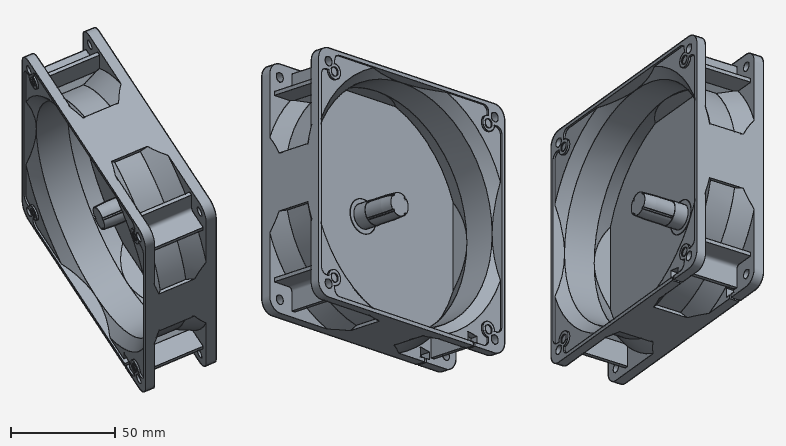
import cadquery as cq

SIDE = 127.0
DEPTH = 38.5
CORNER_RADIUS = 7.0
FRONT_Y = -DEPTH / 2
BACK_Y = DEPTH / 2
HALF_SIDE = SIDE / 2

WALL = 2.0
FRONT_FLANGE = 5.0
BACK_FLANGE = 5.5
FLOOR_Y = BACK_Y - BACK_FLANGE
FRONT_FLANGE_Y = FRONT_Y + FRONT_FLANGE

THROAT_RADIUS = HALF_SIDE - WALL
FRONT_MOUTH_RADIUS = 67.3
BACK_MOUTH_RADIUS = 65.5
THROAT_FRONT_Y = FRONT_Y + 6.6
THROAT_BACK_Y = BACK_Y - 14.8
OUTER_THROAT_RADIUS = THROAT_RADIUS + WALL
OUTER_FRONT_MOUTH_RADIUS = 72.5
OUTER_BACK_MOUTH_RADIUS = 68.0
OUTER_THROAT_FRONT_Y = FRONT_Y + 9.0
OUTER_THROAT_BACK_Y = BACK_Y - 15.6

BAND_HALF_WIDTH = 14.8

RIB_INNER = 46.5
RIB_THICKNESS = 2.0
RIB_OUTER = RIB_INNER + RIB_THICKNESS
RIB_END = 60.4
RIB_FILLET = 2.0
RIB_WEB_INNER = 40.0

MOUNT_POSITION = 56.65
MOUNT_DIAMETER = 4.7
BOSS_POSITION = 52.5
BOSS_RADIUS = 4.0
BOSS_HOLE_RADIUS = 2.3
BOSS_HOLE_DEPTH = 0.6

RECESS_DEPTH = 1.0
RECESS_HALF = THROAT_RADIUS
RECESS_CORNER_RADIUS = 3.5

CABLE_LEFT = 39.4
CABLE_RIGHT = 45.4
CABLE_TOP_LEFT = -56.6
CABLE_TOP_RIGHT = -57.7
CABLE_SLOT_LEFT = 42.1
CABLE_SLOT_WIDTH = 1.2

HUB_RADIUS = 8.8
HUB_HEIGHT = 0.2
SHAFT_RADIUS = 6.4
SHAFT_LENGTH = 24.8
SPLIT_RADIUS = 6.25
SHAFT_CORE_RADIUS = 5.3
SHAFT_TIP_RADIUS = 5.9
SPLIT_START = 7.7
TAPER_START = 18.5
SPLIT_WIDTH = 1.0
SPLIT_ANGLE = 45

SIGNS = (-1, 1)
CORNERS = [(sx, sz) for sx in SIGNS for sz in SIGNS]


def sketch_plane(y):
    """X-Z sketch plane at the given Y; extrusions run toward +Y."""
    return cq.Workplane(cq.Plane((0, y, 0), xDir=(1, 0, 0), normal=(0, 1, 0)))


def block(x0, x1, y0, y1, z0, z1):
    return cq.Workplane("XY").box(x1 - x0, y1 - y0, z1 - z0, centered=False).translate((x0, y0, z0))


def square(half, y0, y1):
    return block(-half, half, y0, y1, -half, half)


def disc(radius, y0, y1, x=0, z=0):
    return sketch_plane(y0).center(x, -z).circle(radius).extrude(y1 - y0)


def revolve_profile(points):
    """Solid of revolution about Y from (radius, y) points."""
    return cq.Workplane("XY").polyline(points).close().revolve(360, (0, 0, 0), (0, 1, 0))


def turned(shape, angle):
    """Shape rotated about the Y axis."""
    return shape.rotate((0, 0, 0), (0, 1, 0), angle)


def flared_duct(front_mouth, throat, back_mouth, throat_front_y, throat_back_y):
    """Solid round duct from the front face to the floor."""
    return revolve_profile([
        (0, FRONT_Y),
        (front_mouth, FRONT_Y),
        (throat, throat_front_y),
        (throat, throat_back_y),
        (back_mouth, FLOOR_Y),
        (0, FLOOR_Y),
    ])


def duct_shell():
    """Outside of the duct, trimmed to the gap between the flanges."""
    outside = flared_duct(
        OUTER_FRONT_MOUTH_RADIUS,
        OUTER_THROAT_RADIUS,
        OUTER_BACK_MOUTH_RADIUS,
        OUTER_THROAT_FRONT_Y,
        OUTER_THROAT_BACK_Y,
    )
    return outside.intersect(square(HALF_SIDE, FRONT_FLANGE_Y, FLOOR_Y))


def duct_cavity():
    """Inside of the duct, with flats that keep the side walls at full thickness."""
    inside = flared_duct(
        FRONT_MOUTH_RADIUS,
        THROAT_RADIUS,
        BACK_MOUTH_RADIUS,
        THROAT_FRONT_Y,
        THROAT_BACK_Y,
    )
    return inside.intersect(square(THROAT_RADIUS, FRONT_Y, FLOOR_Y))


def flange(y0, y1):
    return square(HALF_SIDE, y0, y1).edges("|Y").fillet(CORNER_RADIUS)


def corner_rib(sx, sz):
    """L of two plates with a filleted outer corner, tied to the duct by a diagonal web."""
    span = FLOOR_Y - FRONT_FLANGE_Y
    outline = [
        (RIB_WEB_INNER, RIB_WEB_INNER - RIB_THICKNESS),
        (RIB_OUTER, RIB_INNER),
        (RIB_END, RIB_INNER),
        (RIB_END, RIB_OUTER),
        (RIB_OUTER, RIB_OUTER),
        (RIB_OUTER, RIB_END),
        (RIB_INNER, RIB_END),
        (RIB_INNER, RIB_OUTER),
        (RIB_WEB_INNER - RIB_THICKNESS, RIB_WEB_INNER),
    ]
    placed = [(sx * u, -sz * v) for u, v in outline]
    rib = sketch_plane(FRONT_FLANGE_Y).polyline(placed).close().extrude(span)
    corner = (sx * RIB_OUTER, FRONT_FLANGE_Y + span / 2, sz * RIB_OUTER)
    return rib.edges(cq.selectors.NearestToPointSelector(corner)).fillet(RIB_FILLET)


def housing():
    body = flange(FRONT_Y, FRONT_FLANGE_Y).union(flange(FLOOR_Y, BACK_Y))
    body = body.union(duct_shell())
    band = block(-BAND_HALF_WIDTH, BAND_HALF_WIDTH, FRONT_FLANGE_Y, FLOOR_Y, -HALF_SIDE, HALF_SIDE)
    body = body.union(band).union(turned(band, 90))
    for sx, sz in CORNERS:
        body = body.union(corner_rib(sx, sz))
    return body.cut(duct_cavity())


def front_recess():
    """Recess pocket: a square with its corners and the corner bosses left standing."""
    y1 = FRONT_Y + RECESS_DEPTH
    reach = RECESS_HALF
    pocket = block(-reach, reach, FRONT_Y, y1, -BOSS_POSITION, BOSS_POSITION)
    pocket = pocket.union(block(-BOSS_POSITION, BOSS_POSITION, FRONT_Y, y1, -reach, reach))
    for sx, sz in CORNERS:
        for x, z in ((reach, BOSS_POSITION), (BOSS_POSITION, reach)):
            near = cq.selectors.NearestToPointSelector((sx * x, FRONT_Y + RECESS_DEPTH / 2, sz * z))
            pocket = pocket.edges(near).fillet(RECESS_CORNER_RADIUS)
    for sx, sz in CORNERS:
        pocket = pocket.cut(disc(BOSS_RADIUS, FRONT_Y, y1, sx * BOSS_POSITION, sz * BOSS_POSITION))
    return pocket


def corner_holes():
    holes = cq.Workplane("XY")
    boss_hole_y = FRONT_Y + BOSS_HOLE_DEPTH
    for sx, sz in CORNERS:
        mount = disc(MOUNT_DIAMETER / 2, FRONT_Y, BACK_Y, sx * MOUNT_POSITION, sz * MOUNT_POSITION)
        blind = disc(BOSS_HOLE_RADIUS, FRONT_Y, boss_hole_y, sx * BOSS_POSITION, sz * BOSS_POSITION)
        holes = holes.add(mount).add(blind)
    return holes.combine()


def cable_opening():
    outline = [
        (CABLE_LEFT, RECESS_HALF),
        (CABLE_LEFT, -CABLE_TOP_LEFT),
        (CABLE_RIGHT, -CABLE_TOP_RIGHT),
        (CABLE_RIGHT, RECESS_HALF),
    ]
    opening = sketch_plane(FRONT_Y).polyline(outline).close().extrude(DEPTH)
    slot_right = CABLE_SLOT_LEFT + CABLE_SLOT_WIDTH
    slot = block(CABLE_SLOT_LEFT, slot_right, FRONT_Y, BACK_Y, -HALF_SIDE, -RECESS_HALF)
    return opening.union(slot)


def shaft():
    split_y = FLOOR_Y - SPLIT_START
    taper_y = FLOOR_Y - TAPER_START
    tip_y = FLOOR_Y - SHAFT_LENGTH
    pin = revolve_profile([
        (0, FLOOR_Y),
        (HUB_RADIUS, FLOOR_Y),
        (HUB_RADIUS, FLOOR_Y - HUB_HEIGHT),
        (SHAFT_RADIUS, FLOOR_Y - HUB_HEIGHT),
        (SHAFT_RADIUS, split_y),
        (SPLIT_RADIUS, split_y),
        (SPLIT_RADIUS, taper_y),
        (SHAFT_TIP_RADIUS, tip_y),
        (0, tip_y),
    ])
    half_width = SPLIT_WIDTH / 2
    slot = block(-half_width, half_width, tip_y, split_y, -SHAFT_RADIUS, SHAFT_RADIUS)
    slots = turned(slot, SPLIT_ANGLE).union(turned(slot, -SPLIT_ANGLE))
    return pin.cut(slots.cut(disc(SHAFT_CORE_RADIUS, tip_y, split_y)))


result = housing().cut(front_recess()).cut(corner_holes()).cut(cable_opening()).union(shaft())